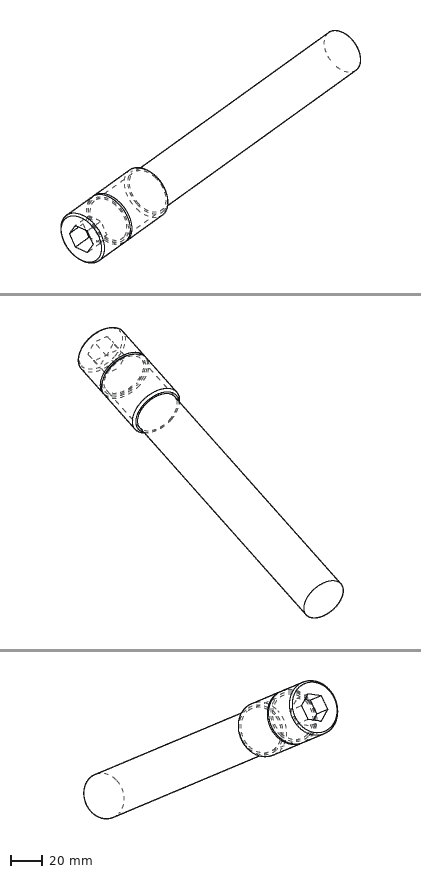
import cadquery as cq

overall_length = 268.0
outer_diameter = 36.0
shank_diameter = 30.0
head_length = 28.0
head_chamfer = 1.3
socket_across_flats = 17.0
socket_depth = 14.0

sleeve_length = 40.2
sleeve_chamfer = 1.5

HEX_CORNER_RATIO = 2 / 3 ** 0.5


def cylinder_along_y(diameter, start, length):
    """Solid cylinder on the Y axis, from start toward +Y."""
    return cq.Workplane("XZ", origin=(0, start, 0)).circle(diameter / 2).extrude(-length)


def make_screw():
    """Cylindrical head with a chamfered face and hexagon socket, on a plain shank."""
    head = cylinder_along_y(outer_diameter, 0, head_length).faces("<Y").chamfer(head_chamfer)
    shank = cylinder_along_y(shank_diameter, head_length, overall_length - head_length)
    socket = (
        cq.Workplane("XZ")
        .polygon(6, socket_across_flats * HEX_CORNER_RATIO)
        .extrude(-socket_depth)
    )
    return head.union(shank).cut(socket)


def make_sleeve():
    """Ring around the shank, with both outer edges chamfered."""
    blank = cylinder_along_y(outer_diameter, head_length, sleeve_length).faces("<Y or >Y").chamfer(sleeve_chamfer)
    bore = cylinder_along_y(shank_diameter, head_length, sleeve_length)
    return blank.cut(bore)


screw = make_screw()
sleeve = make_sleeve()
result = cq.Compound.makeCompound([screw.val(), sleeve.val()])